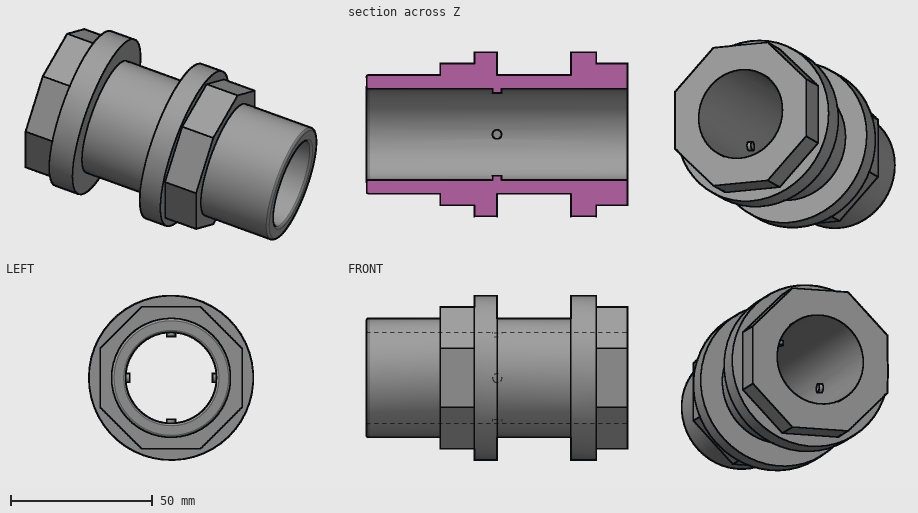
import cadquery as cq

spigot_length = 26.0
body_octagon_thickness = 12.0
body_flange_thickness = 8.0
flange_gap = 26.0
nut_flange_thickness = 9.0
nut_octagon_thickness = 11.0

body_octagon_start = spigot_length
body_flange_start = body_octagon_start + body_octagon_thickness
nut_flange_start = body_flange_start + body_flange_thickness + flange_gap
nut_octagon_start = nut_flange_start + nut_flange_thickness
total_length = nut_octagon_start + nut_octagon_thickness

tube_diameter = 41.91
bore_diameter = 32.0
flange_diameter = 58.0
octagon_across_flats = 50.0
tip_fillet = 0.8

pin_count = 4
pin_diameter = 3.2
pin_tip_radius = 14.5
pin_embedment = 1.5
pin_station = total_length / 2


def turn_about_axis(shape, angle):
    """Rotate a shape about the X axis."""
    return shape.rotate((0, 0, 0), (1, 0, 0), angle)


def disc(start, length, diameter):
    """Round section along +X, beginning at the given station."""
    return cq.Workplane("YZ", origin=(start, 0, 0)).circle(diameter / 2).extrude(length)


def octagon(start, length):
    """Octagonal wrench section with flats facing +-Y and +-Z."""
    profile = cq.Workplane("YZ", origin=(start, 0, 0)).rect(octagon_across_flats, octagon_across_flats)
    square_block = profile.extrude(length)
    return square_block.intersect(turn_about_axis(square_block, 45))


def pin(angle):
    """Pin rooted in the tube wall and pointing at the axis."""
    length = bore_diameter / 2 + pin_embedment - pin_tip_radius
    base = cq.Workplane("XY", origin=(pin_station, 0, pin_tip_radius))
    upright = base.circle(pin_diameter / 2).extrude(length)
    return turn_about_axis(upright, angle)


def tube():
    """Bored tube with both edges of the spigot tip rounded."""
    bored = disc(0, total_length, tube_diameter).cut(disc(0, total_length, bore_diameter))
    return bored.faces("<X").edges().fillet(tip_fillet)


def collars():
    """Wrench sections and flanges of the body and the nut, with the bore open through them."""
    solid_collars = (
        octagon(body_octagon_start, body_octagon_thickness)
        .union(disc(body_flange_start, body_flange_thickness, flange_diameter))
        .union(disc(nut_flange_start, nut_flange_thickness, flange_diameter))
        .union(octagon(nut_octagon_start, nut_octagon_thickness))
    )
    return solid_collars.cut(disc(0, total_length, bore_diameter))


result = tube().union(collars())
for index in range(pin_count):
    result = result.union(pin(index * 360 / pin_count))